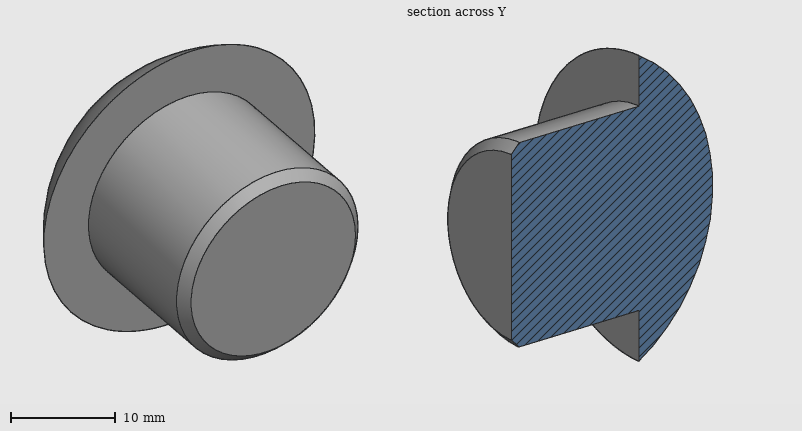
import cadquery as cq

head_diameter = 31.5
head_height = 9.2
stem_diameter = 21.1
stem_length = 15.8
stem_chamfer = 1.0

head_radius = head_diameter / 2
stem_radius = stem_diameter / 2

dome_radius = (head_radius**2 + head_height**2) / (2 * head_height)


def make_head():
    """Spherical cap with its flat underside at X = 0 and its crown towards -X."""
    dome_center_x = dome_radius - head_height
    dome = cq.Workplane("XY").sphere(dome_radius).translate((dome_center_x, 0, 0))
    cap_envelope = cq.Workplane("YZ").circle(dome_radius).extrude(-head_height)
    return dome.intersect(cap_envelope)


def make_stem():
    """Cylindrical stem along +X with a chamfered free end."""
    stem = cq.Workplane("YZ").circle(stem_radius).extrude(stem_length)
    return stem.faces(">X").chamfer(stem_chamfer)


result = make_head().union(make_stem())